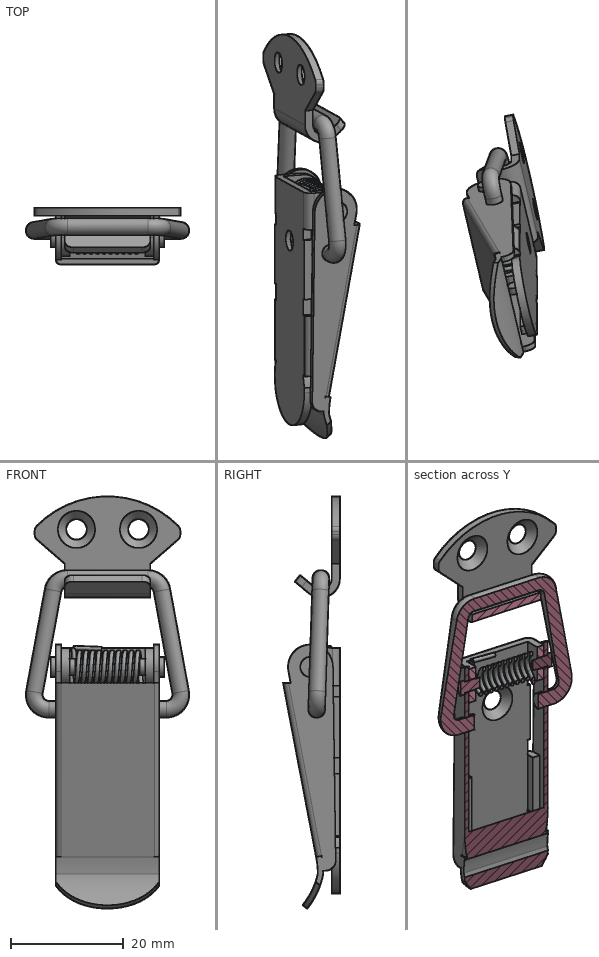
import cadquery as cq
import math


PROFILE_PLANE = cq.Plane(origin=(0, 0, 0), xDir=(0, -1, 0), normal=(-1, 0, 0))

pivot_height = 5.25
mount_thickness = 1.5
screw_diameter = 3.6
screw_head_diameter = 6.6

keeper_top_z = 30.28
keeper_half_width = 12.95
keeper_top_radius = 17.6
keeper_slope_angle = 41.0
keeper_tip_radius = 1.3
keeper_neck_half = 7.6
keeper_neck_z = 18.3
hook_inner_radius = 1.9
hook_flange_length = 3.2
hook_flange_angle = 40.0
hook_corner_radius = 1.5
screw_x = 5.5
keeper_screw_z = 24.4

wire_diameter = 3.0
bail_bend_radius = 2.6
bail_top_half = 7.1
bail_top_height = mount_thickness + hook_inner_radius
bail_top_z = 15.7
bail_overall_half = 14.5
bail_foot_height = 4.15
bail_foot_z = -7.5
bail_foot_inner_x = 7.0

lever_half_width = 9.2
lever_wall = 1.0
boss_radius = 4.0
face_angle = 10.77
face_offset = 5.32
face_top_z = -2.84
face_edge_radius = 0.95
face_bottom_z = -33.7
bend_radius = 16.0
lip_radius = 13.1
lip_start_angle = 12.0
lip_end_angle = 39.2
lip_round_radius = 11.4
wall_back_height = 0.75
wall_bottom_z = -36.15
wall_corner_radius = 1.8

base_half_width = lever_half_width - lever_wall
base_top_z = 3.37
base_plate_half = 7.25
base_round_z = -32.95
base_screw_z = -6.8
base_bend_radius = 0.95 * mount_thickness
flange_tip_radius = 3.4
lower_flange_height = 3.0
upper_flange_bottom_z = -3.3
upper_relief = 2.0
lower_flange_top_z = -18.97
lower_relief_top = 2.9
lower_flange_bottom_z = -29.9
lower_relief_bottom = 2.2

rivet_diameter = 3.0
rivet_head_diameter = 3.6
rivet_head_x = 10.1
rivet_inner_x = 5.75

spring_wire = 0.8
coil_radius = 2.6
coil_left_x = -5.75
coil_pitch = 1.15
coil_turns = 10.06
coil_start_angle = 191.6
base_leg_end_x = -1.0
base_leg_end_z = 3.2
lever_leg_length = 5.0


def polar(radius, degrees):
    """Offset of a point at a radius and an angle."""
    angle = math.radians(degrees)
    return cq.Vector(radius * math.cos(angle), radius * math.sin(angle))


def pt(vector):
    """Plane coordinates of a vector."""
    return (vector.x, vector.y)


def across(profile, half_width):
    """Extrude a profile symmetrically across the width."""
    return profile.extrude(half_width, both=True)


def nearest(point):
    return cq.selectors.NearestToPointSelector(point)


def bar_along_x(diameter, height, z, x_start, x_end):
    """Round bar along X."""
    plane = cq.Plane(origin=(x_start, -height, z), xDir=(0, 1, 0), normal=(1, 0, 0))
    return cq.Workplane(plane).circle(diameter / 2).extrude(x_end - x_start)


def countersink(x, z):
    """Cone through the mounting sheet, widest on its outer side."""
    wall = cq.Vector(x, 0, z)
    outward = cq.Vector(0, -1, 0)
    cone = cq.Solid.makeCone(screw_diameter / 2, screw_head_diameter / 2, mount_thickness, wall, outward)
    return cq.Workplane(cone)


def make_keeper():
    t = mount_thickness
    hook_radius = hook_inner_radius + t
    hook_center = cq.Vector(hook_radius, bail_top_z)

    end_angle = hook_flange_angle - 90
    mid_angle = (180 + 360 + end_angle) / 2
    tip = polar(hook_flange_length, hook_flange_angle)
    outer_end = hook_center + polar(hook_radius, end_angle)
    inner_end = hook_center + polar(hook_inner_radius, end_angle)
    profile = (
        cq.Workplane(PROFILE_PLANE)
        .moveTo(0, keeper_top_z)
        .lineTo(0, bail_top_z)
        .threePointArc(pt(hook_center + polar(hook_radius, mid_angle)), pt(outer_end))
        .lineTo(*pt(outer_end + tip))
        .lineTo(*pt(inner_end + tip))
        .lineTo(*pt(inner_end))
        .threePointArc(pt(hook_center + polar(hook_inner_radius, mid_angle)), (t, bail_top_z))
        .lineTo(t, keeper_top_z)
        .close()
    )
    strip = across(profile, keeper_half_width)

    arc_center_z = keeper_top_z - keeper_top_radius
    arc_side_z = arc_center_z + math.sqrt(keeper_top_radius**2 - keeper_half_width**2)
    slope_rise = (keeper_half_width - keeper_neck_half) * math.tan(math.radians(keeper_slope_angle))
    slope_top_z = keeper_neck_z + slope_rise
    strip_bottom_z = bail_top_z - hook_radius
    outline_depth = 4 * hook_radius
    outline = (
        cq.Workplane("XZ")
        .moveTo(-keeper_half_width, arc_side_z)
        .threePointArc((0, keeper_top_z), (keeper_half_width, arc_side_z))
        .lineTo(keeper_half_width, slope_top_z)
        .lineTo(keeper_neck_half, keeper_neck_z)
        .lineTo(keeper_neck_half, strip_bottom_z)
        .lineTo(-keeper_neck_half, strip_bottom_z)
        .lineTo(-keeper_neck_half, keeper_neck_z)
        .lineTo(-keeper_half_width, slope_top_z)
        .close()
        .extrude(outline_depth)
    )
    for x in (-keeper_half_width, keeper_half_width):
        for z in (arc_side_z, slope_top_z):
            corner = (x, -outline_depth / 2, z)
            outline = outline.edges(nearest(corner)).fillet(keeper_tip_radius)
    keeper = strip.intersect(outline)

    flange_corner = (outer_end + inner_end) * 0.5 + tip
    for x in (-keeper_neck_half, keeper_neck_half):
        point = (x, -flange_corner.x, flange_corner.y)
        keeper = keeper.edges(nearest(point)).fillet(hook_corner_radius)

    for x in (-screw_x, screw_x):
        keeper = keeper.cut(countersink(x, keeper_screw_z))
    return keeper


def make_bail():
    rise = cq.Vector(0, bail_foot_height - bail_top_height, bail_top_z - bail_foot_z)
    length = rise.Length
    foot_origin = (0, -bail_foot_height, bail_foot_z)
    plane = cq.Plane(origin=foot_origin, xDir=(1, 0, 0), normal=cq.Vector(1, 0, 0).cross(rise))
    r = bail_bend_radius
    foot_half = bail_overall_half - wire_diameter / 2 - r
    lean = math.degrees(math.atan2(foot_half - bail_top_half, length - 2 * r))

    def bend(center, end_angle):
        """Middle of a bend between a bar and the leg, and the point where it meets the leg."""
        middle = center + polar(r, (lean + end_angle) / 2)
        leg_end = center + polar(r, lean)
        return pt(middle), pt(leg_end)

    def mirrored(point):
        return (-point[0], point[1])

    lower_middle, leg_bottom = bend(cq.Vector(foot_half, r), -90)
    upper_middle, leg_top = bend(cq.Vector(bail_top_half, length - r), 90)
    path = (
        cq.Workplane(plane)
        .moveTo(bail_foot_inner_x, 0)
        .lineTo(foot_half, 0)
        .threePointArc(lower_middle, leg_bottom)
        .lineTo(*leg_top)
        .threePointArc(upper_middle, (bail_top_half, length))
        .lineTo(-bail_top_half, length)
        .threePointArc(mirrored(upper_middle), mirrored(leg_top))
        .lineTo(*mirrored(leg_bottom))
        .threePointArc(mirrored(lower_middle), (-foot_half, 0))
        .lineTo(-bail_foot_inner_x, 0)
    )
    start = cq.Plane(
        origin=(bail_foot_inner_x, -bail_foot_height, bail_foot_z), xDir=(0, 0, -1), normal=(1, 0, 0)
    )
    return cq.Workplane(start).circle(wire_diameter / 2).sweep(path)


def make_lever():
    t = lever_wall
    pivot = cq.Vector(pivot_height, 0)
    down = polar(1, -90 - face_angle)
    out = polar(1, -face_angle)

    def on_face(offset, z):
        """Point at a height Z on a line parallel to the face, offset from the pivot axis."""
        foot = pivot + out * offset
        return foot + down * ((z - foot.y) / down.y)

    outer_bend_start = on_face(face_offset, face_bottom_z)
    inner_bend_start = outer_bend_start - out * t
    bend_center = outer_bend_start + out * bend_radius
    outer_bend_end = bend_center - cq.Vector(bend_radius, 0)
    inner_bend_end = outer_bend_end - cq.Vector(t, 0)
    bend_mid = polar(1, 180 - face_angle / 2)
    lip_center = outer_bend_end + polar(lip_radius, lip_start_angle)
    lip_mid = polar(1, 180 + (lip_start_angle + lip_end_angle) / 2)
    lip_end = polar(1, 180 + lip_end_angle)
    inner_lip_radius = lip_radius + t
    inner_lip_start = lip_center + polar(inner_lip_radius, 180 + lip_start_angle)

    panel_profile = (
        cq.Workplane(PROFILE_PLANE)
        .moveTo(*pt(on_face(face_offset, face_top_z)))
        .lineTo(*pt(outer_bend_start))
        .lineTo(*pt(inner_bend_start))
        .lineTo(*pt(on_face(face_offset - t, face_top_z)))
        .close()
    )
    panel = across(panel_profile, lever_half_width)
    panel_middle = (on_face(face_offset, face_top_z) + outer_bend_start) * 0.5
    for x in (-lever_half_width, lever_half_width):
        point = (x, -panel_middle.x, panel_middle.y)
        panel = panel.edges(nearest(point)).fillet(face_edge_radius)

    lip_profile = (
        cq.Workplane(PROFILE_PLANE)
        .moveTo(*pt(outer_bend_start))
        .threePointArc(pt(bend_center + bend_mid * bend_radius), pt(outer_bend_end))
        .threePointArc(pt(lip_center + lip_mid * lip_radius), pt(lip_center + lip_end * lip_radius))
        .lineTo(*pt(lip_center + lip_end * inner_lip_radius))
        .threePointArc(pt(lip_center + lip_mid * inner_lip_radius), pt(inner_lip_start))
        .lineTo(*pt(inner_bend_end))
        .threePointArc(pt(bend_center + bend_mid * (bend_radius + t)), pt(inner_bend_start))
        .close()
    )
    lip = across(lip_profile, lever_half_width)

    wall_front = face_offset - t
    boss_back = pivot - cq.Vector(boss_radius, 0)
    wall_profile = (
        cq.Workplane(PROFILE_PLANE)
        .moveTo(*pt(boss_back))
        .threePointArc((pivot_height, boss_radius), pt(pivot + out * boss_radius))
        .lineTo(*pt(on_face(boss_radius, face_top_z)))
        .lineTo(*pt(on_face(wall_front, face_top_z)))
        .lineTo(*pt(on_face(wall_front, face_bottom_z)))
        .lineTo(inner_bend_end.x + t / 2, wall_bottom_z)
        .lineTo(wall_back_height, wall_bottom_z)
        .close()
    )
    walls = across(wall_profile, lever_half_width)
    back_corner = (0, -wall_back_height, wall_bottom_z)
    walls = walls.edges(nearest(back_corner)).fillet(wall_corner_radius)
    gap_length = 4 * abs(wall_bottom_z)
    gap = cq.Workplane("XY").box(2 * (lever_half_width - t), gap_length, gap_length)
    lever = panel.union(walls.cut(gap)).union(lip)

    tip = lip_center + lip_end * lip_radius
    tip_plane = cq.Plane(
        origin=(0, -tip.x, tip.y), xDir=(1, 0, 0), normal=(0, -lip_end.x, lip_end.y)
    )
    sag = lip_round_radius - math.sqrt(lip_round_radius**2 - lever_half_width**2)
    reach = lip_radius / 2
    trim = (
        cq.Workplane(tip_plane)
        .moveTo(-lever_half_width, -sag)
        .threePointArc((0, 0), (lever_half_width, -sag))
        .lineTo(lever_half_width, reach)
        .lineTo(-lever_half_width, reach)
        .close()
        .extrude(3 * t, both=True)
    )
    lever = lever.cut(trim)

    x = lever_half_width
    lever = lever.cut(bar_along_x(rivet_diameter, pivot_height, 0, -x, x))
    return lever.cut(bar_along_x(wire_diameter, bail_foot_height, bail_foot_z, -x, x))


def make_base():
    t = mount_thickness
    inner_half = base_half_width - t

    def plate(half, z_low, z_high):
        box = cq.Workplane("XY").box(2 * half, t, z_high - z_low)
        return box.translate((0, -t / 2, (z_low + z_high) / 2))

    base = plate(base_plate_half, base_round_z, upper_flange_bottom_z - upper_relief)
    base = base.union(plate(inner_half, base_round_z, base_top_z))

    for z_low, z_high in (
        (lower_flange_top_z, lower_flange_top_z + lower_relief_top),
        (lower_flange_bottom_z - lower_relief_bottom, lower_flange_bottom_z),
    ):
        for side in (-1, 1):
            relief = cq.Workplane("XY").box(base_half_width, 4 * t, z_high - z_low)
            relief_x = side * (inner_half + base_half_width / 2)
            base = base.cut(relief.translate((relief_x, 0, (z_low + z_high) / 2)))
    round_end = cq.Workplane("XZ", origin=(0, 0, base_round_z)).circle(base_plate_half).extrude(t)
    base = base.union(round_end)

    upper = (
        cq.Workplane(PROFILE_PLANE)
        .moveTo(0, base_top_z)
        .lineTo(pivot_height, base_top_z)
        .threePointArc((pivot_height + flange_tip_radius, 0), (pivot_height, -flange_tip_radius))
        .lineTo(0, upper_flange_bottom_z)
        .close()
    )
    lower = (
        cq.Workplane(PROFILE_PLANE)
        .moveTo(0, lower_flange_top_z)
        .lineTo(lower_flange_height, lower_flange_top_z)
        .lineTo(lower_flange_height, lower_flange_bottom_z)
        .lineTo(0, lower_flange_bottom_z)
        .close()
    )
    inside = (
        cq.Workplane("XZ", origin=(0, -t, 0))
        .rect(2 * inner_half, 4 * abs(base_round_z))
        .extrude(4 * pivot_height)
    )
    for profile in (upper, lower):
        channel = across(profile, base_half_width).edges("|Z and >Y").fillet(base_bend_radius)
        base = base.union(channel.cut(inside))

    base = base.cut(countersink(0, base_screw_z))
    return base.cut(bar_along_x(rivet_diameter, pivot_height, 0, -base_half_width, base_half_width))


def make_rivet(side):
    """Headed pin through one lever wall and one base flange; side is -1 or 1."""
    shank = bar_along_x(rivet_diameter, pivot_height, 0, side * rivet_inner_x, side * lever_half_width)
    head = bar_along_x(rivet_head_diameter, pivot_height, 0, side * lever_half_width, side * rivet_head_x)
    return shank.union(head)


def make_spring():
    lead = math.atan2(coil_pitch, 2 * math.pi * coil_radius)
    end_angle = coil_start_angle + 360 * coil_turns
    along_x = math.sin(lead)

    def coil_point(degrees):
        """Point on the coil, which turns from height toward Z as it advances along +X."""
        p = polar(coil_radius, degrees)
        x = coil_left_x + coil_pitch * (degrees - coil_start_angle) / 360
        return cq.Vector(x, -(pivot_height + p.x), p.y)

    def coil_direction(degrees):
        d = polar(math.cos(lead), degrees + 90)
        return cq.Vector(along_x, -d.x, d.y)

    def leg(points):
        start = cq.Plane(origin=points[0], normal=points[1] - points[0])
        path = cq.Workplane(cq.Wire.makePolygon(points))
        return cq.Workplane(start).circle(spring_wire / 2).sweep(path, transition="round")

    helix = cq.Wire.makeHelix(coil_pitch, coil_pitch * coil_turns, coil_radius, lefthand=True)
    section_plane = cq.Plane(
        origin=(coil_radius, 0, 0), xDir=(1, 0, 0), normal=(0, -math.cos(lead), along_x)
    )
    section = cq.Workplane(section_plane).circle(spring_wire / 2)
    wound = section.sweep(cq.Workplane(helix), isFrenet=True)
    start = polar(1, coil_start_angle)
    laid = cq.Plane(
        origin=(coil_left_x, -pivot_height, 0), xDir=(0, -start.x, start.y), normal=(1, 0, 0)
    )
    coil = cq.Workplane(wound.val().located(cq.Location(laid)))

    first_point = coil_point(coil_start_angle)
    back = coil_direction(coil_start_angle) * -1
    plate_y = -(mount_thickness + spring_wire / 2)
    corner = first_point + back * ((plate_y - first_point.y) / back.y)
    base_leg = leg([first_point, corner, cq.Vector(base_leg_end_x, plate_y, base_leg_end_z)])

    last_point = coil_point(end_angle)
    lever_leg = leg([last_point, last_point + coil_direction(end_angle) * lever_leg_length])
    return coil.union(base_leg).union(lever_leg)


keeper = make_keeper()
bail = make_bail()
lever = make_lever()
base = make_base()
rivets = [make_rivet(side) for side in (-1, 1)]
spring = make_spring()

result = cq.Compound.makeCompound(
    [keeper.val(), bail.val(), lever.val(), base.val(), *[rivet.val() for rivet in rivets], spring.val()]
)